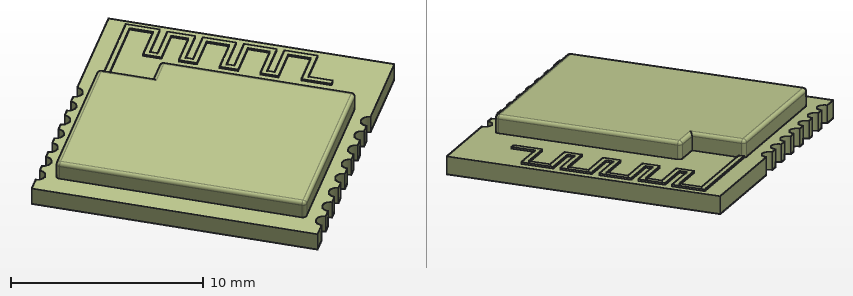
import cadquery as cq

board_side = 15.4
board_thickness = 1.0

notch_radius = 0.4
first_notch_y = 1.22
left_notch_count = 7
left_last_notch_y = 8.72
right_notch_count = 8
right_last_notch_y = 10.21

can_height = 1.0
can_side_inset = 0.97
can_front_y = 1.2
can_rear_y = 11.21
can_step_x = 3.95
can_step_y = 9.7
can_edge_radius = 0.2

track_width = 0.3
track_height = 0.1
track_first_top_y = board_side - 0.52
track_top_y = board_side - 0.6
track_bottom_y = board_side - 2.55
track_tail_y = board_side - 2.5
track_end_x = 12.72
feed_leg_x = 1.17
first_falling_leg_x = 2.73
later_loops = [(3.43, 4.65), (5.35, 6.85), (7.56, 9.04), (9.73, 11.24)]


def make_board():
    return cq.Workplane("XY").box(board_side, board_side, board_thickness, centered=False)


def make_notches(edge_x, last_y, count):
    pitch = (last_y - first_notch_y) / (count - 1)
    centers = [(edge_x, first_notch_y + i * pitch) for i in range(count)]
    return cq.Workplane("XY").pushPoints(centers).circle(notch_radius).extrude(board_thickness)


def make_can():
    left_x = can_side_inset
    right_x = board_side - can_side_inset
    outline = [
        (left_x, can_front_y),
        (right_x, can_front_y),
        (right_x, can_rear_y),
        (can_step_x, can_rear_y),
        (can_step_x, can_step_y),
        (left_x, can_step_y),
    ]
    board_top = cq.Workplane("XY").workplane(offset=board_thickness)
    can = board_top.polyline(outline).close().extrude(can_height)
    inner_corner = cq.selectors.BoxSelector(
        (can_step_x - can_edge_radius, can_step_y - can_edge_radius, board_thickness),
        (can_step_x + can_edge_radius, can_step_y + can_edge_radius, board_thickness + can_height),
    )
    outer_corners = cq.selectors.ParallelDirSelector(cq.Vector(0, 0, 1)) - inner_corner
    can = can.edges(outer_corners).fillet(can_edge_radius)
    return can.faces(">Z").edges().fillet(can_edge_radius)


def antenna_path():
    """Centre line of the track, from under the can to the free end."""
    path = [
        (feed_leg_x, can_step_y - can_edge_radius),
        (feed_leg_x, track_first_top_y),
        (first_falling_leg_x, track_first_top_y),
        (first_falling_leg_x, track_bottom_y),
    ]
    for rising_x, falling_x in later_loops:
        path += [
            (rising_x, track_bottom_y),
            (rising_x, track_top_y),
            (falling_x, track_top_y),
            (falling_x, track_bottom_y),
        ]
    path[-1] = (path[-1][0], track_tail_y)
    path.append((track_end_x - track_width / 2, track_tail_y))
    return path


def make_antenna():
    path = antenna_path()
    antenna = cq.Workplane("XY")
    for (start_x, start_y), (end_x, end_y) in zip(path, path[1:]):
        bar = (
            cq.Workplane("XY")
            .workplane(offset=board_thickness)
            .center((start_x + end_x) / 2, (start_y + end_y) / 2)
            .rect(abs(end_x - start_x) + track_width, abs(end_y - start_y) + track_width)
            .extrude(track_height)
        )
        antenna = antenna.union(bar)
    return antenna


result = (
    make_board()
    .cut(make_notches(0, left_last_notch_y, left_notch_count))
    .cut(make_notches(board_side, right_last_notch_y, right_notch_count))
    .union(make_can())
    .union(make_antenna())
    .clean()
)